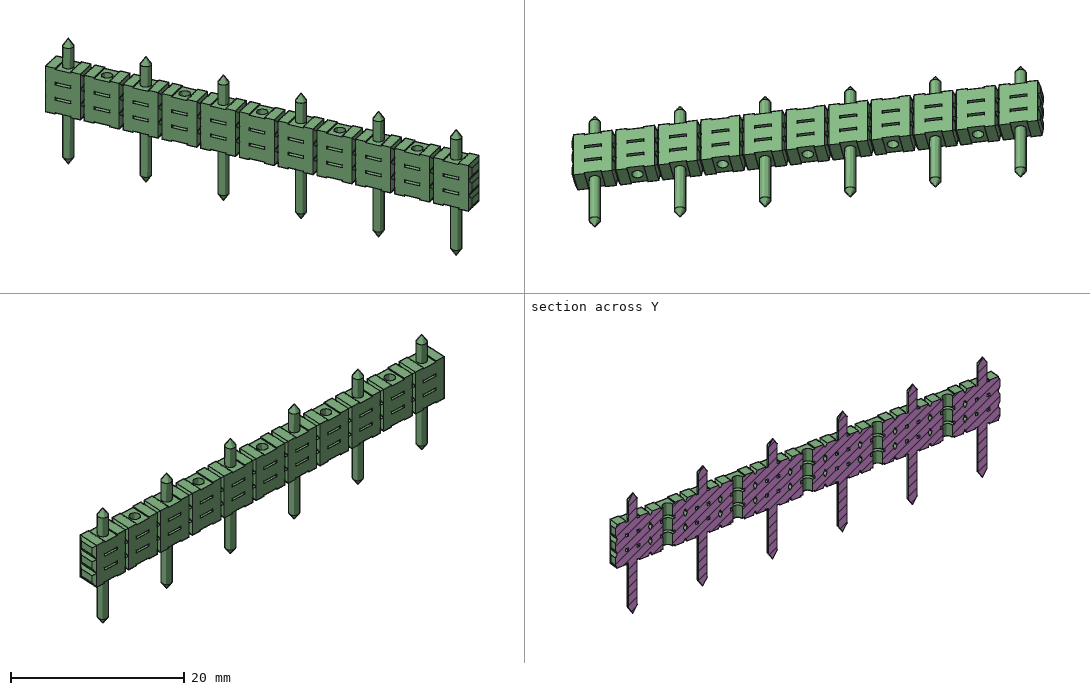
import cadquery as cq

strip_length = 55.0
block_count = 11
pin_spacing = 2
pitch = strip_length / block_count

block_depth = 2.8
block_height = 6.0
pad_reach = 0.25
block_width = pitch - 2 * pad_reach

pads_per_end = 3
pad_height = block_height / pads_per_end
pad_inset = 0.5

channel_width = 2.0
channel_depth = 0.15
slot_width = channel_width
slot_height = 0.35

pin_diameter = 1.3
pin_radius = pin_diameter / 2
pin_above_block = 3.5
pin_below_block = 7.0
pin_tip_height = 1.0


def make_pad(z_center, side):
    """Tapered pad on one end of a block; side is +1 for +X and -1 for -X."""
    end_plane = cq.Plane(
        origin=(side * block_width / 2, 0, z_center),
        xDir=(0, 1, 0),
        normal=(side, 0, 0),
    )
    return (
        cq.Workplane(end_plane)
        .rect(block_depth, pad_height)
        .workplane(offset=pad_reach)
        .rect(block_depth - 2 * pad_inset, pad_height - 2 * pad_inset)
        .loft(ruled=True, combine=True)
    )


def make_block():
    """One block centred on the origin, with pads, channels, slots and bore."""
    block = cq.Workplane("XY").box(block_width, block_depth, block_height)

    for level in range(pads_per_end):
        z_center = (level + 0.5) * pad_height - block_height / 2
        for side in (-1, 1):
            block = block.union(make_pad(z_center, side))

    channel = cq.Workplane("XY").box(channel_width, block_depth, 2 * channel_depth)
    for side in (-1, 1):
        block = block.cut(channel.translate((0, 0, side * block_height / 2)))

    slot = cq.Workplane("XY").box(slot_width, block_depth, slot_height)
    for level in range(1, pads_per_end):
        z_center = level * pad_height - block_height / 2
        block = block.cut(slot.translate((0, 0, z_center)))

    bore = cq.Workplane("XY").circle(pin_radius).extrude(block_height / 2, both=True)
    return block.cut(bore)


def make_pin():
    """Round pin on the Z axis with a conical point at each end."""
    z_top = block_height / 2 + pin_above_block
    z_bottom = -block_height / 2 - pin_below_block
    return (
        cq.Workplane("XZ")
        .moveTo(0, z_bottom)
        .lineTo(pin_radius, z_bottom + pin_tip_height)
        .lineTo(pin_radius, z_top - pin_tip_height)
        .lineTo(0, z_top)
        .close()
        .revolve(360, (0, 0, 0), (0, 1, 0))
    )


plain_block = make_block()
pinned_block = plain_block.union(make_pin())

result = cq.Workplane("XY")
for index in range(block_count):
    unit = pinned_block if index % pin_spacing == 0 else plain_block
    x_center = (index - (block_count - 1) / 2) * pitch
    result = result.union(unit.translate((x_center, 0, 0)))